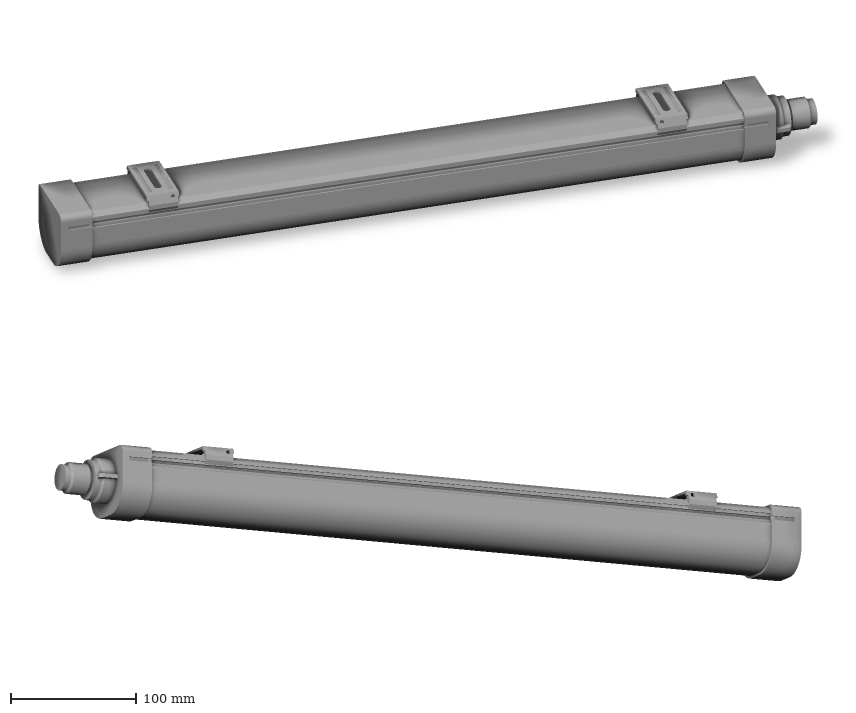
import cadquery as cq

BACK_END = -320.0
PLUG_TIP = 320.0
FRONT_END = 279.0
CAP_LENGTH = 26.0
END_PLATE_THICKNESS = 6.5
SLEEVE_LENGTH = CAP_LENGTH - END_PLATE_THICKNESS

CAP_WIDTH = 61.0
CAP_TOP = 24.5
CAP_BOTTOM = -29.5
CAP_BOTTOM_RADIUS = 44.0 / 2
CAP_TOP_RADIUS = 5.0

CAP_STEP = 2.0
PROFILE_WIDTH = CAP_WIDTH - 2 * CAP_STEP
PROFILE_TOP = CAP_TOP - CAP_STEP
PROFILE_BOTTOM = CAP_BOTTOM + CAP_STEP
PROFILE_BOTTOM_RADIUS = 41.5 / 2
PROFILE_TOP_CHAMFER = 4.0

GROOVE_HEIGHT = 13.0
GROOVE_MOUTH_WIDTH = 8.0
GROOVE_MOUTH_DEPTH = 1.0
GROOVE_CORE_WIDTH = 2.5
GROOVE_CORE_DEPTH = 3.0
CAP_GROOVE_WIDTH = 3.0
CAP_GROOVE_DEPTH = 1.0

CLIP_PLACES = ((192.5, -1), (-233.5, 1))
CLIP_LENGTH = 27.0
CLIP_TOP = 29.5
CLIP_PLATE_THICKNESS = 2.0
CLIP_WIDTH = 59.0
CLIP_PLATE_WIDTH = 52.5
CLIP_OPENING_WIDTH = 48.5
CLIP_SHOULDER = 22.0
CLIP_HOOK_HEIGHT = 2.0
CLIP_LEG_EDGE = 18.0
CLIP_FOOT_LENGTH = 24.5
CLIP_SLOT_LENGTH = 33.0
CLIP_SLOT_WIDTH = 6.5
RAIL_GROOVE_LENGTH = 42.0
RAIL_GROOVE_WIDTH = 3.0
RAIL_GROOVE_DEPTH = 0.5
RAIL_GROOVE_OFFSET = 9.0
LEG_WINDOW_LENGTH = 3.0
LEG_WINDOW_OFFSET = 8.5
LEG_WINDOW_BOTTOM = 24.5

CONNECTOR_AXIS_HEIGHT = -0.95
NUT_DIAMETER = 36.5
NUT_LENGTH = 12.0
NUT_CHAMFER = 2.0
WING_SPAN = 45.5
WING_THICKNESS = 3.0
WING_LENGTH = 16.0
WING_CORNER_RADIUS = 3.0
FLANGE_DIAMETER = 32.5
FLANGE_LENGTH = 5.0
PLUG_DIAMETER = 21.0
PLUG_SHAFT_DIAMETER = 19.0
RING_DIAMETER = 25.5
RING_START = 299.0
RING_END = 315.5
RING_CHAMFER = 2.0


def round_bottom_bar(width, top, bottom, bottom_radius, start, length):
    """Bar along +Y from `start` with its two lower long edges rounded."""
    bar = cq.Workplane("XY").box(width, length, top - bottom, centered=(True, False, False))
    bar = bar.translate((0, start, bottom))
    return bar.edges("|Y and <Z").fillet(bottom_radius)


def cap_bar(start, length):
    bar = round_bottom_bar(CAP_WIDTH, CAP_TOP, CAP_BOTTOM, CAP_BOTTOM_RADIUS, start, length)
    return bar.edges("|Y and >Z").fillet(CAP_TOP_RADIUS)


def profile_bar(start, length):
    """Profile shape without its side grooves."""
    bar = round_bottom_bar(PROFILE_WIDTH, PROFILE_TOP, PROFILE_BOTTOM, PROFILE_BOTTOM_RADIUS, start, length)
    return bar.edges("|Y and >Z").chamfer(PROFILE_TOP_CHAMFER)


def side_slots(width, depth, slot_width, start, length):
    """Pair of rectangular cutters, one sunk into each side of a bar."""
    slots = cq.Workplane("XY")
    for side in (-1, 1):
        slot = cq.Workplane("XY").box(2 * depth, length, slot_width, centered=(True, False, True))
        slots = slots.add(slot.translate((side * width / 2, start, GROOVE_HEIGHT)))
    return slots.combine()


def cylinder(diameter, start, length):
    """Cylinder on the connector axis running from `start` toward +Y."""
    disc = cq.Workplane("XZ", origin=(0, start, CONNECTOR_AXIS_HEIGHT)).circle(diameter / 2)
    return disc.extrude(-length)


def make_profile():
    start = BACK_END + CAP_LENGTH
    length = FRONT_END - CAP_LENGTH - start
    profile = profile_bar(start, length)
    profile = profile.cut(side_slots(PROFILE_WIDTH, GROOVE_MOUTH_DEPTH, GROOVE_MOUTH_WIDTH, start, length))
    return profile.cut(side_slots(PROFILE_WIDTH, GROOVE_CORE_DEPTH, GROOVE_CORE_WIDTH, start, length))


def make_sleeve(start):
    grooves = side_slots(CAP_WIDTH, CAP_GROOVE_DEPTH, CAP_GROOVE_WIDTH, start, SLEEVE_LENGTH)
    return cap_bar(start, SLEEVE_LENGTH).cut(grooves)


def make_end_plate(start):
    return cap_bar(start, END_PLATE_THICKNESS)


def make_clip(center, window_side):
    """Bridge over the profile whose legs hook into the side grooves.

    `window_side` is the Y direction, -1 or 1, in which the leg windows are offset.
    """
    leg_bottom = GROOVE_HEIGHT + GROOVE_MOUTH_WIDTH / 2 - CLIP_HOOK_HEIGHT
    hook_tip = PROFILE_WIDTH / 2 - GROOVE_MOUTH_DEPTH
    outline = [
        (-hook_tip, leg_bottom),
        (-CLIP_WIDTH / 2, CLIP_LEG_EDGE),
        (-CLIP_WIDTH / 2, CLIP_SHOULDER),
        (-CLIP_PLATE_WIDTH / 2, CLIP_TOP),
        (CLIP_PLATE_WIDTH / 2, CLIP_TOP),
        (CLIP_WIDTH / 2, CLIP_SHOULDER),
        (CLIP_WIDTH / 2, CLIP_LEG_EDGE),
        (hook_tip, leg_bottom),
    ]
    clip = cq.Workplane("XZ").polyline(outline).close().extrude(CLIP_LENGTH / 2, both=True)

    opening_height = CLIP_TOP - CLIP_PLATE_THICKNESS - PROFILE_TOP
    opening = cq.Workplane("XY").box(CLIP_OPENING_WIDTH, CLIP_LENGTH, opening_height, centered=(True, True, False))
    clip = clip.cut(opening.translate((0, 0, PROFILE_TOP)))

    body = profile_bar(-CLIP_LENGTH / 2, CLIP_LENGTH)
    hook_room = side_slots(PROFILE_WIDTH, GROOVE_MOUTH_DEPTH, GROOVE_MOUTH_WIDTH, -CLIP_LENGTH / 2, CLIP_LENGTH)
    clip = clip.cut(body.cut(hook_room))

    trim_length = (CLIP_LENGTH - CLIP_FOOT_LENGTH) / 2
    trim_height = CLIP_TOP - 2 * CLIP_PLATE_THICKNESS - leg_bottom
    for end in (-1, 1):
        trim = cq.Workplane("XY").box(CLIP_WIDTH, trim_length, trim_height, centered=(True, True, False))
        clip = clip.cut(trim.translate((0, end * (CLIP_LENGTH - trim_length) / 2, leg_bottom)))

    slot = cq.Workplane("XY").slot2D(CLIP_SLOT_LENGTH, CLIP_SLOT_WIDTH).extrude(CLIP_TOP)
    clip = clip.cut(slot.translate((0, 0, PROFILE_TOP)))
    for end in (-1, 1):
        groove = cq.Workplane("XY").box(RAIL_GROOVE_LENGTH, RAIL_GROOVE_WIDTH, 2 * RAIL_GROOVE_DEPTH)
        clip = clip.cut(groove.translate((0, end * RAIL_GROOVE_OFFSET, CLIP_TOP)))

    window_height = CLIP_TOP - CLIP_PLATE_THICKNESS - LEG_WINDOW_BOTTOM
    window = cq.Workplane("XY").box(CLIP_WIDTH, LEG_WINDOW_LENGTH, window_height, centered=(True, True, False))
    clip = clip.cut(window.translate((0, window_side * LEG_WINDOW_OFFSET, LEG_WINDOW_BOTTOM)))
    return clip.translate((0, center, 0))


def make_winged_nut():
    """Round nut on the front end plate with a thin flat wing on either side."""
    wings = cq.Workplane("XY").box(WING_SPAN, WING_LENGTH, WING_THICKNESS, centered=(True, False, True))
    wings = wings.edges("|Z and >Y").fillet(WING_CORNER_RADIUS)
    wings = wings.translate((0, FRONT_END, CONNECTOR_AXIS_HEIGHT))
    wings = wings.cut(cylinder(FLANGE_DIAMETER, FRONT_END + NUT_LENGTH, WING_LENGTH))
    nut = cylinder(NUT_DIAMETER, FRONT_END, NUT_LENGTH).faces(">Y").chamfer(NUT_CHAMFER)
    return nut.union(wings)


def make_plug():
    """Flange, shaft through the coupling ring, and tip."""
    flange_start = FRONT_END + NUT_LENGTH
    flange_end = flange_start + FLANGE_LENGTH
    plug = cylinder(FLANGE_DIAMETER, flange_start, FLANGE_LENGTH)
    plug = plug.union(cylinder(PLUG_DIAMETER, flange_end, RING_START - flange_end))
    plug = plug.union(cylinder(PLUG_SHAFT_DIAMETER, RING_START, RING_END - RING_START))
    return plug.union(cylinder(PLUG_DIAMETER, RING_END, PLUG_TIP - RING_END))


def make_coupling_ring():
    length = RING_END - RING_START
    ring = cylinder(RING_DIAMETER, RING_START, length).faces(">Y").chamfer(RING_CHAMFER)
    return ring.cut(cylinder(PLUG_SHAFT_DIAMETER, RING_START, length))


profile = make_profile()
sleeves = [make_sleeve(start) for start in (BACK_END + END_PLATE_THICKNESS, FRONT_END - CAP_LENGTH)]
end_plates = [make_end_plate(start) for start in (BACK_END, FRONT_END - END_PLATE_THICKNESS)]
clips = [make_clip(center, window_side) for center, window_side in CLIP_PLACES]
winged_nut = make_winged_nut()
plug = make_plug()
coupling_ring = make_coupling_ring()

bodies = [profile, *sleeves, *end_plates, *clips, winged_nut, plug, coupling_ring]
result = cq.Compound.makeCompound([body.val() for body in bodies])